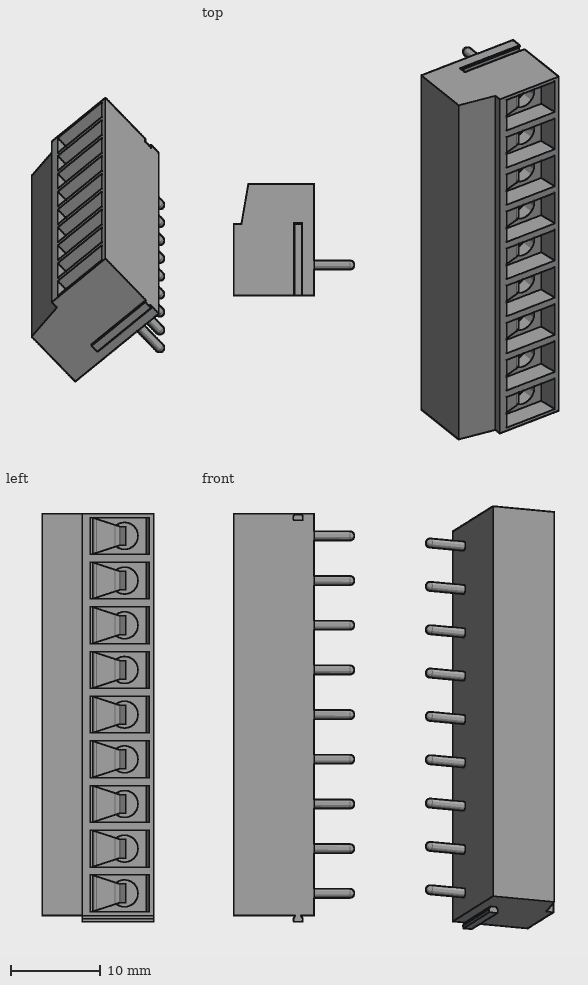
import cadquery as cq
import math

terminal_count = 9
overall_x = 13.5
overall_y = 12.5
overall_z = 45.7

housing_depth = 9.0
ledge_y = 8.05
ledge_depth = 0.85
shoulder_depth = 1.65

dovetail_x = 7.2
dovetail_height = 0.7
dovetail_bulge_height = 0.35
dovetail_neck_width = 0.7
dovetail_bulge_width = 1.1
dovetail_end_width = 1.0
groove_length = 8.0
groove_clearance = 0.1
groove_chamfer = 0.15

opening_height = 4.1
opening_depth = 2.25
opening_y_min = 0.55
opening_y_max = 7.13
opening_slope_run = 0.3

clamp_hole_y = 3.3
clamp_hole_radius = 1.5

plate_rise = 0.25
plate_heel_y = 6.85
plate_heel_end_y = 6.45
plate_bend_y = 4.4
plate_bend_end_y = 3.85
plate_tip_y = 3.15
plate_heel_width = 4.05
plate_tip_width = 2.1
plate_bend_angle = math.radians(65)

pin_y = 3.43
pin_diameter = 1.05

pin_radius = pin_diameter / 2
housing_height = overall_z - dovetail_height
pitch = housing_height / terminal_count
plate_x = opening_depth - plate_rise
bend_radius = (plate_bend_y - plate_bend_end_y) / math.sin(plate_bend_angle)
bend_end_x = plate_x + bend_radius * (1 - math.cos(plate_bend_angle))
clamp_hole_bottom = bend_end_x + (plate_bend_end_y - plate_tip_y) * math.tan(plate_bend_angle)


def make_housing():
    """Full-height block with a recessed, sloping upper front."""
    return (
        cq.Workplane("XY")
        .polyline([
            (0, 0),
            (housing_depth, 0),
            (housing_depth, overall_y),
            (shoulder_depth, overall_y),
            (ledge_depth, ledge_y),
            (0, ledge_y),
        ])
        .close()
        .extrude(housing_height)
    )


def make_dovetail(root_z, length, height):
    """Dovetail bar hanging below root_z, running from the -Y face."""
    neck = dovetail_neck_width / 2
    bulge = dovetail_bulge_width / 2
    end = dovetail_end_width / 2
    return (
        cq.Workplane("XZ", origin=(dovetail_x, 0, root_z))
        .polyline([
            (-neck, 0),
            (-bulge, -dovetail_bulge_height),
            (-end, -height),
            (end, -height),
            (bulge, -dovetail_bulge_height),
            (neck, 0),
        ])
        .close()
        .extrude(-length)
    )


def make_groove():
    """Dovetail groove in the housing top, its mouth chamfered along both sides and the closed end."""
    mouth_width = dovetail_neck_width + 2 * groove_chamfer
    slot = make_dovetail(housing_height, groove_length, dovetail_height + groove_clearance)
    mouth_chamfer = (
        cq.Workplane("XY", origin=(dovetail_x, 0, housing_height))
        .rect(mouth_width, 2 * (groove_length + groove_chamfer))
        .workplane(offset=-groove_chamfer)
        .rect(dovetail_neck_width, 2 * groove_length)
        .loft()
    )
    return slot.union(mouth_chamfer)


def make_opening(center_z):
    """Wire opening with its clamping hole."""
    opening = (
        cq.Workplane("XY", origin=(0, 0, center_z))
        .polyline([
            (0, opening_y_min),
            (opening_depth, opening_y_min + opening_slope_run),
            (opening_depth, opening_y_max),
            (0, opening_y_max),
        ])
        .close()
        .extrude(opening_height / 2, both=True)
    )
    clamp_hole = (
        cq.Workplane("YZ", origin=(opening_depth, clamp_hole_y, center_z))
        .circle(clamp_hole_radius)
        .extrude(clamp_hole_bottom - opening_depth)
    )
    return opening.union(clamp_hole)


def make_plate(center_z):
    """Spring plate: rounded heel, flat face, and a leg bent down to the hole bottom."""
    heel_run = plate_heel_y - plate_heel_end_y
    heel_radius = (heel_run**2 + plate_rise**2) / (2 * plate_rise)
    profile = (
        cq.Workplane("XY", origin=(0, 0, center_z))
        .moveTo(opening_depth, plate_heel_y)
        .radiusArc((plate_x, plate_heel_end_y), -heel_radius)
        .lineTo(plate_x, plate_bend_y)
        .radiusArc((bend_end_x, plate_bend_end_y), -bend_radius)
        .lineTo(clamp_hole_bottom, plate_tip_y)
        .lineTo(clamp_hole_bottom, plate_bend_y)
        .close()
        .extrude(opening_height / 2, both=True)
    )
    heel = plate_heel_width / 2
    tip = plate_tip_width / 2
    outline = (
        cq.Workplane("YZ", origin=(0, 0, center_z))
        .polyline([
            (plate_heel_y, -heel),
            (plate_heel_y, heel),
            (plate_bend_end_y, tip),
            (plate_tip_y, tip),
            (plate_tip_y, -tip),
            (plate_bend_end_y, -tip),
        ])
        .close()
        .extrude(clamp_hole_bottom)
    )
    return profile.intersect(outline)


def make_pin(center_z):
    """Round pin revolved about its own axis."""
    shank = overall_x - housing_depth - pin_radius
    middle = pin_radius * math.sqrt(0.5)
    return (
        cq.Workplane("XY", origin=(housing_depth, pin_y, center_z))
        .lineTo(0, -pin_radius)
        .lineTo(shank, -pin_radius)
        .threePointArc((shank + middle, -middle), (shank + pin_radius, 0))
        .close()
        .revolve(360, (0, 0), (1, 0))
    )


result = make_housing()
result = result.cut(make_groove())
result = result.union(make_dovetail(0, ledge_y, dovetail_height))

for index in range(terminal_count):
    terminal_z = (index + 0.5) * pitch
    result = result.cut(make_opening(terminal_z))
    result = result.union(make_plate(terminal_z))
    result = result.union(make_pin(terminal_z))